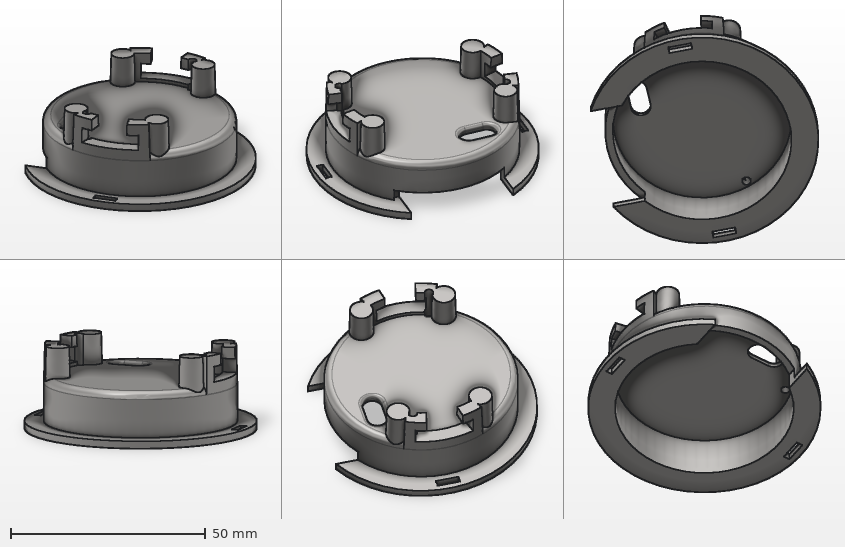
import cadquery as cq
import math

flange_radius = 29.95
flange_height = 2.0
flange_slot_length = 6.0
flange_slot_width = 1.7
flange_slot_offset = 27.45

cup_radius = 25.0
cup_height = 14.0
wall = 2.0
shoulder_height = cup_height - wall

opening_half_width = 14.2
opening_top = 5.0
opening_relief_y = 16.0
opening_back_x = -math.sqrt((cup_radius - wall) ** 2 - opening_half_width ** 2)

clip_top = 22.0
clip_inner_radius = 21.05
clip_half_angle = 25.0
window_bottom = 15.0
window_top = 19.0
window_half_angle = 18.0
gap_half_angle = 11.2
draft_angle = 1.5

post_base_radius = 3.25
post_x = 10.95
post_y = 18.6

cable_x = -14.75
cable_y = -9.2
cable_width = 5.15
cable_straight = 5.0
cable_edge_radius = wall / 2
pin_hole_diameter = 2.2
pin_hole_x = 7.45
pin_hole_y = 20.15


def disc(radius, bottom, top):
    return cq.Workplane("XY").workplane(offset=bottom).circle(radius).extrude(top - bottom)


def box_between(x_range, y_range, z_range):
    lengths = [high - low for low, high in (x_range, y_range, z_range)]
    corner = (x_range[0], y_range[0], z_range[0])
    return cq.Workplane("XY").box(*lengths, centered=False).translate(corner)


def ring_sector(inner_radius, outer_radius, half_angle, bottom, top, taper=0.0):
    """Ring segment centred on the +Y axis."""
    sine = math.sin(math.radians(half_angle))
    cosine = math.cos(math.radians(half_angle))
    return (
        cq.Workplane("XY")
        .workplane(offset=bottom)
        .moveTo(-inner_radius * sine, inner_radius * cosine)
        .lineTo(-outer_radius * sine, outer_radius * cosine)
        .threePointArc((0, outer_radius), (outer_radius * sine, outer_radius * cosine))
        .lineTo(inner_radius * sine, inner_radius * cosine)
        .threePointArc((0, inner_radius), (-inner_radius * sine, inner_radius * cosine))
        .close()
        .extrude(top - bottom, taper=taper)
    )


def clip_pair():
    """Hooked clip with its two posts on the +Y rim."""
    margin = wall
    cut_inner = clip_inner_radius - margin
    cut_outer = cup_radius + margin
    clip = ring_sector(
        clip_inner_radius, cup_radius, clip_half_angle, shoulder_height, clip_top, draft_angle
    )
    clip = clip.cut(ring_sector(cut_inner, cut_outer, window_half_angle, window_bottom, window_top))
    clip = clip.cut(ring_sector(cut_inner, cut_outer, gap_half_angle, window_bottom, clip_top))
    posts = (
        cq.Workplane("XY")
        .workplane(offset=shoulder_height)
        .pushPoints([(-post_x, post_y), (post_x, post_y)])
        .circle(post_base_radius)
        .extrude(clip_top - shoulder_height, taper=draft_angle)
    )
    return clip.union(posts)


cup = disc(cup_radius, 0, cup_height).faces(">Z").edges().fillet(wall)
body = disc(flange_radius, 0, flange_height).union(cup)

for turn in (0, 180):
    body = body.union(clip_pair().rotate((0, 0, 0), (0, 0, 1), turn))

body = body.cut(disc(cup_radius - wall, 0, shoulder_height))

opening_x = (-flange_radius, opening_back_x)
body = body.cut(box_between(opening_x, (-opening_half_width, opening_half_width), (0, opening_top)))
body = body.cut(
    box_between(opening_x, (opening_half_width, opening_relief_y), (flange_height, opening_top))
    .intersect(disc(cup_radius, flange_height, opening_top))
)

flange_slots = (
    cq.Workplane("XY")
    .pushPoints([(0, -flange_slot_offset), (0, flange_slot_offset)])
    .rect(flange_slot_length, flange_slot_width)
    .extrude(flange_height)
)
body = body.cut(flange_slots)

cable_slot = (
    cq.Workplane("XY")
    .workplane(offset=shoulder_height)
    .center(cable_x, cable_y)
    .slot2D(cable_straight + cable_width, cable_width, 90)
    .extrude(wall)
)
body = body.cut(cable_slot)
slot_reach = (cable_straight + cable_width) / 2
slot_edge_zone = cq.selectors.BoxSelector(
    (cable_x - slot_reach, cable_y - slot_reach, cup_height - cable_edge_radius),
    (cable_x + slot_reach, cable_y + slot_reach, cup_height + cable_edge_radius),
)
body = body.edges(slot_edge_zone).fillet(cable_edge_radius)

pin_holes = (
    cq.Workplane("XY")
    .workplane(offset=shoulder_height)
    .pushPoints([(pin_hole_x, pin_hole_y), (-pin_hole_x, -pin_hole_y)])
    .circle(pin_hole_diameter / 2)
    .extrude(clip_top - shoulder_height)
)
result = body.cut(pin_holes)